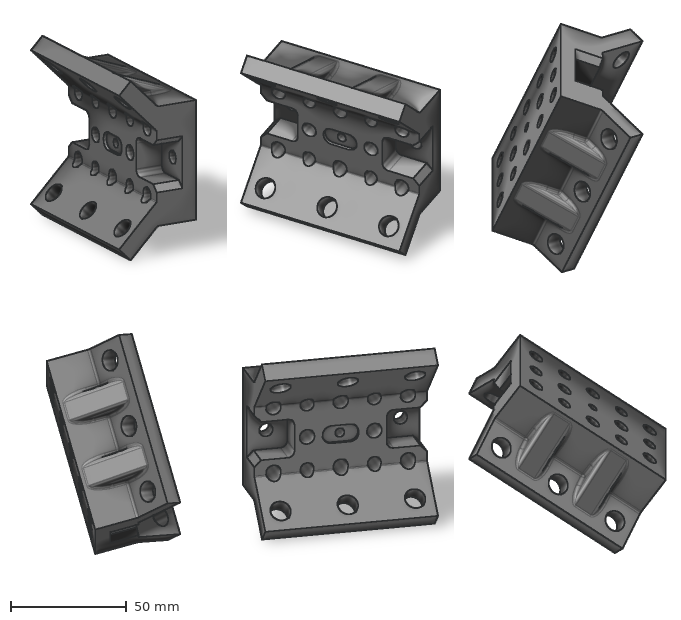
import cadquery as cq
import math

width = 77.0
height = 80.8
depth = 38.1

block_depth = 19.5
block_height = 54.0
wing_thickness = 8.1
outer_corner_radius = 1.85
inner_corner_radius = 0.7

rib_width = 12.0
rib_start = 2.0
rib_end = 28.9
rib_round = 2.0
rib_overlap = 1.2

wing_pitch = 30.0
large_hole = 6.6
small_hole = 6.0
center_hole = 4.0
wing_hole = 9.0
wing_hole_setback = 9.1

pocket_depth = 12.7
pocket_length = 17.9
pocket_height = 17.6
pocket_corner_radius = 3.0
pocket_mouth_chamfer = 3.0
slot_length = 16.2
slot_height = 8.1
slot_depth = 1.5

half_width = width / 2
half_height = height / 2
half_block = block_height / 2
tip_step = wing_thickness * math.sqrt(0.5)
tip_depth = depth - tip_step
inner_tip_z = half_height - tip_step
outer_corner_depth = tip_depth - (half_height - half_block)
inner_corner_z = inner_tip_z - (depth - block_depth)
hole_pitch = wing_pitch / 2
wing_columns = (-wing_pitch, 0, wing_pitch)
side_signs = (-1, 1)
tolerance = 0.001


def extrude_along_x(points, length, center_x=0):
    """Prism centred on center_x from (depth, z) points."""
    outline = [(-d, z) for d, z in points]
    plane = cq.Workplane("YZ", origin=(center_x, 0, 0))
    return plane.polyline(outline).close().extrude(length / 2, both=True)


def make_body():
    upper = [
        (0, half_block),
        (outer_corner_depth, half_block),
        (tip_depth, half_height),
        (depth, inner_tip_z),
        (block_depth, inner_corner_z),
    ]
    lower = [(d, -z) for d, z in reversed(upper)]
    return extrude_along_x(upper + lower, width)


def outer_surface_z(d):
    """Height of the outer surface of block and wing at distance d from the back."""
    return half_block + max(0, d - outer_corner_depth)


def make_rib(center_x, side):
    """Sloping rib with rounded long edges, its underside buried in the body."""
    rise = outer_surface_z(rib_end) - half_block
    slope = rise / (rib_end - rib_start)
    toe = (rib_start - rib_overlap, half_block - rib_overlap * slope)
    top = (rib_end + rib_overlap, half_block + rise + rib_overlap * slope)
    root = (outer_corner_depth, half_block - rib_overlap)
    rib = extrude_along_x([toe, top, root], rib_width, center_x)
    sloping_edges = rib.edges(cq.selectors.ParallelDirSelector(cq.Vector(0, -1, slope)))
    rib = sloping_edges.fillet(rib_round)
    return rib if side > 0 else rib.mirror("XY")


def is_outer_corner(edge):
    """True for the concave edges on the outer surface: wing corners and rib bases."""
    middle = edge.Center()
    d = -middle.y
    on_surface = abs(abs(middle.z) - outer_surface_z(d)) < tolerance
    inside_ends = abs(middle.x) < half_width - tolerance
    return on_surface and inside_ends and tolerance < d < tip_depth - tolerance


def is_inner_corner(edge):
    """True for the two long edges where the web face meets the wings."""
    middle = edge.Center()
    on_web = abs(middle.y + block_depth) < tolerance
    return on_web and abs(abs(middle.z) - inner_corner_z) < tolerance


def make_ribbed_body():
    body = make_body()
    for sx in side_signs:
        for side in side_signs:
            body = body.union(make_rib(sx * hole_pitch, side))
    body = body.edges().filter(is_outer_corner).fillet(outer_corner_radius)
    return body.edges().filter(is_inner_corner).fillet(inner_corner_radius)


def cut_pattern(body, diameter, points):
    """Straight holes through the block along Y."""
    drill = cq.Workplane("XZ").pushPoints(points).circle(diameter / 2).extrude(depth)
    return body.cut(drill)


def cut_block_holes(body):
    inner_columns = (-hole_pitch, hole_pitch)
    large = [(x, side * hole_pitch) for x in wing_columns for side in side_signs]
    large += [(x, 0) for x in inner_columns]
    small = [(x, side * hole_pitch) for x in inner_columns for side in side_signs]
    small += [(-wing_pitch, 0), (wing_pitch, 0)]
    body = cut_pattern(body, large_hole, large)
    body = cut_pattern(body, small_hole, small)
    return cut_pattern(body, center_hole, [(0, 0)])


def cut_wing_holes(body):
    """Holes square to each wing, in line with the outer hole columns."""
    setback = wing_hole_setback * math.sqrt(0.5)
    hole_y = -(depth - setback)
    hole_z = inner_tip_z - setback
    for side in side_signs:
        for x in wing_columns:
            start = cq.Vector(x, hole_y, side * hole_z)
            outward = cq.Vector(0, 1, side)
            drill = cq.Solid.makeCylinder(wing_hole / 2, 2 * wing_thickness, start, outward)
            body = body.cut(cq.Workplane(drill))
    return body


def cut_pockets(body):
    """Pockets open to the web face and to both ends, with chamfered mouths."""
    floor_y = -(block_depth - pocket_depth)
    for sx in side_signs:
        center_x = sx * (half_width - pocket_length / 2)
        pocket = (
            cq.Workplane("XZ", origin=(center_x, floor_y, 0))
            .rect(pocket_length, pocket_height)
            .extrude(pocket_depth)
            .edges("|Y and %sX" % ("<" if sx > 0 else ">"))
            .fillet(pocket_corner_radius)
        )
        half_pocket = pocket_height / 2
        half_mouth = half_pocket + pocket_mouth_chamfer
        mouth = (
            cq.Workplane("XZ", origin=(0, floor_y, 0))
            .polyline([
                (sx * half_width, half_mouth),
                (sx * (half_width - pocket_mouth_chamfer), half_pocket),
                (sx * (half_width - pocket_mouth_chamfer), -half_pocket),
                (sx * half_width, -half_mouth),
            ])
            .close()
            .extrude(pocket_depth)
        )
        body = body.cut(pocket).cut(mouth)
    return body


def cut_slot(body):
    slot = (
        cq.Workplane("XZ", origin=(0, slot_depth - block_depth, 0))
        .slot2D(slot_length, slot_height)
        .extrude(slot_depth)
    )
    return body.cut(slot)


result = make_ribbed_body()
result = cut_block_holes(result)
result = cut_wing_holes(result)
result = cut_pockets(result)
result = cut_slot(result)